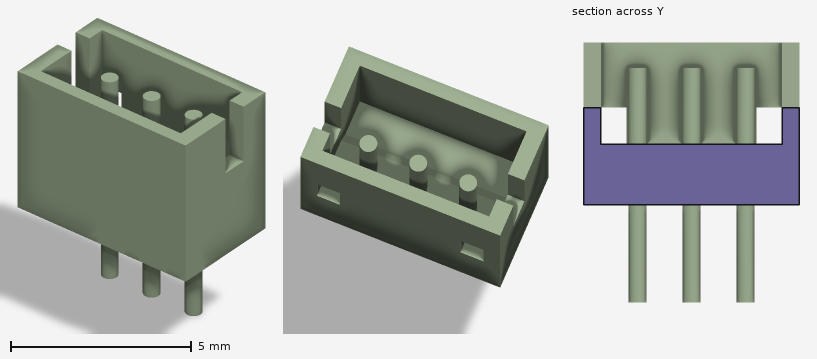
import cadquery as cq

housing_length = 6.0
housing_width = 3.5
housing_height = 4.5
pin_tail = 2.7
end_wall = 0.5
side_wall = 0.4

upper_floor_depth = 2.8
ramp_top_from_back = 1.75
ramp_drop = 0.3

slot_width = 0.8
slot_from_back = 0.95
slot_depth = 1.8

window_width = 0.7
window_height = upper_floor_depth - slot_depth

pin_count = 3
pin_diameter = 0.5
pin_pitch = 1.5
pin_from_back = 1.3
pin_top_below_rim = 0.7

back_y = housing_width / 2
front_inner_y = side_wall - housing_width / 2
back_inner_y = back_y - side_wall
cavity_length = housing_length - 2 * end_wall


def make_housing():
    """Plain block with its underside at Z = 0."""
    return cq.Workplane("XY").box(housing_length, housing_width, housing_height, centered=(True, True, False))


def make_cavity():
    """Open-topped cavity, drawn as a YZ profile and extruded along X."""
    ramp_top_y = back_y - ramp_top_from_back
    upper_floor_z = housing_height - upper_floor_depth
    lower_floor_z = upper_floor_z - ramp_drop
    profile = [
        (back_inner_y, housing_height),
        (back_inner_y, upper_floor_z),
        (ramp_top_y, upper_floor_z),
        (ramp_top_y - ramp_drop, lower_floor_z),
        (front_inner_y, lower_floor_z),
        (front_inner_y, housing_height),
    ]
    return cq.Workplane("YZ").polyline(profile).close().extrude(cavity_length / 2, both=True)


def make_slots():
    """One long bar that cuts the slots in both end walls."""
    slot_y = back_y - slot_from_back - slot_width / 2
    return (
        cq.Workplane("XY")
        .box(housing_length, slot_width, slot_depth, centered=(True, True, False))
        .translate((0, slot_y, housing_height - slot_depth))
    )


def make_window(side):
    """Window beside one end wall; side is -1 or +1 along X."""
    window_x = side * (cavity_length - window_width) / 2
    return (
        cq.Workplane("XY")
        .box(window_width, side_wall, window_height, centered=(True, True, False))
        .translate((window_x, back_y - side_wall / 2, housing_height - upper_floor_depth))
    )


def make_pin(index):
    """Straight round pin running through the floor."""
    pin_x = (index - (pin_count - 1) / 2) * pin_pitch
    pin_length = pin_tail + housing_height - pin_top_below_rim
    return (
        cq.Workplane("XY")
        .circle(pin_diameter / 2)
        .extrude(pin_length)
        .translate((pin_x, back_y - pin_from_back, -pin_tail))
    )


result = make_housing().cut(make_cavity()).cut(make_slots())
for side in (-1, 1):
    result = result.cut(make_window(side))
for index in range(pin_count):
    result = result.union(make_pin(index))